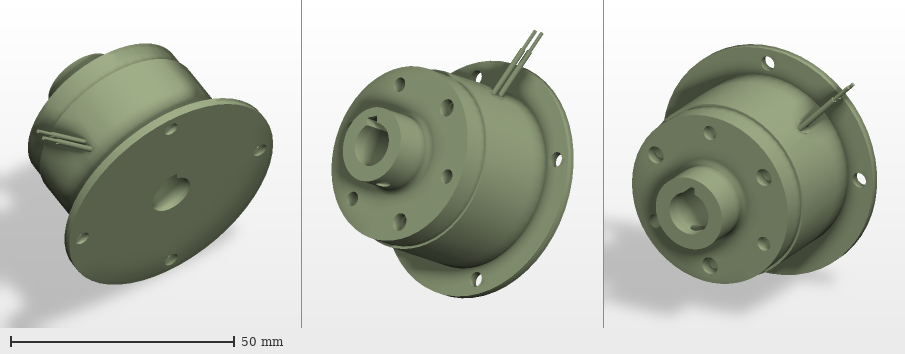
import cadquery as cq
import math

cover_start = 9.6
cover_joint = 12.1
body_start = 15.5
flange_start = 36.0
total_length = 38.0

hub_diameter = 17.05
cover_diameter = 40.05
body_diameter = 41.2
flange_diameter = 54.0
hub_fillet = 1.2
selection_margin = 0.55

bore_diameter = 10.0
key_width = 3.0
key_top = 6.4
screw_diameter = 3.25
screw_position = 4.0

flange_hole_diameter = 3.4
flange_hole_circle = 47.0
cover_hole_diameter = 3.3
cover_bore_diameter = 4.0
cover_hole_circle = 32.0

lead_angle = 45.0
lead_position = 26.05
lead_spacing = 2.3
plug_diameter = 3.6
plug_depth = 1.65
plug_height = 20.65
sheath_diameter = 1.25
sheath_end = 32.85
core_diameter = 0.8
core_end = 38.1


def x_cylinder(start, end, diameter, y=0, z=0):
    """Cylinder parallel to X between two stations."""
    return (
        cq.Workplane("YZ", origin=(start, y, z))
        .circle(diameter / 2)
        .extrude(end - start)
    )


def polar_holes(start, end, diameter, circle_diameter, angles):
    """Cylinders parallel to X, spread around the axis at angles from +Y."""
    holes = cq.Workplane("YZ")
    for angle in angles:
        y = circle_diameter / 2 * math.cos(math.radians(angle))
        z = circle_diameter / 2 * math.sin(math.radians(angle))
        holes = holes.add(x_cylinder(start, end, diameter, y, z))
    return holes.combine()


def lead_cylinder(x, start, end, diameter):
    """Radial cylinder at station x along the lead direction."""
    upright = cq.Workplane("XY", origin=(x, 0, start)).circle(diameter / 2).extrude(end - start)
    return upright.rotate((0, 0, 0), (1, 0, 0), lead_angle)


def make_housing():
    """Hub with its root fillet, cover, body and mounting flange."""
    hub_and_cover = (
        x_cylinder(0, cover_start, hub_diameter)
        .union(x_cylinder(cover_start, body_start, cover_diameter))
        .edges(cq.selectors.BoxSelector(
            (cover_start - selection_margin, -hub_diameter, -hub_diameter),
            (cover_start + selection_margin, hub_diameter, hub_diameter),
        ))
        .edges(cq.selectors.RadiusNthSelector(0))
        .fillet(hub_fillet)
    )
    body = x_cylinder(body_start, flange_start, body_diameter)
    flange = x_cylinder(flange_start, total_length, flange_diameter)
    return hub_and_cover.union(body).union(flange)


def make_bore():
    """Through bore with a keyway on the +Z side."""
    keyway = cq.Workplane("XY").box(total_length, key_width, key_top, centered=(False, True, False))
    return x_cylinder(0, total_length, bore_diameter).union(keyway)


def make_screw_hole():
    """Set-screw hole from the -Z side of the hub into the bore."""
    return (
        cq.Workplane("XY", origin=(screw_position, 0, 0))
        .circle(screw_diameter / 2)
        .extrude(-hub_diameter)
    )


def add_leads(part):
    """Flat plug and two stripped wires."""
    part = part.union(lead_cylinder(lead_position, plug_height - plug_depth, plug_height, plug_diameter))
    for side in (-1, 1):
        x = lead_position + side * lead_spacing / 2
        sheath = lead_cylinder(x, plug_height - plug_depth, sheath_end, sheath_diameter)
        core = lead_cylinder(x, plug_height, core_end, core_diameter)
        part = part.union(sheath).union(core)
    return part


wide_angles = (30, 150, 270)
plain_angles = (90, 210, 330)
flange_angles = (0, 90, 180, 270)

result = make_housing().cut(make_bore()).cut(make_screw_hole())

result = result.cut(
    polar_holes(cover_start, body_start, cover_hole_diameter, cover_hole_circle, wide_angles + plain_angles)
)
result = result.cut(
    polar_holes(cover_start, cover_joint, cover_bore_diameter, cover_hole_circle, wide_angles)
)
result = result.cut(
    polar_holes(flange_start, total_length, flange_hole_diameter, flange_hole_circle, flange_angles)
)
result = add_leads(result)